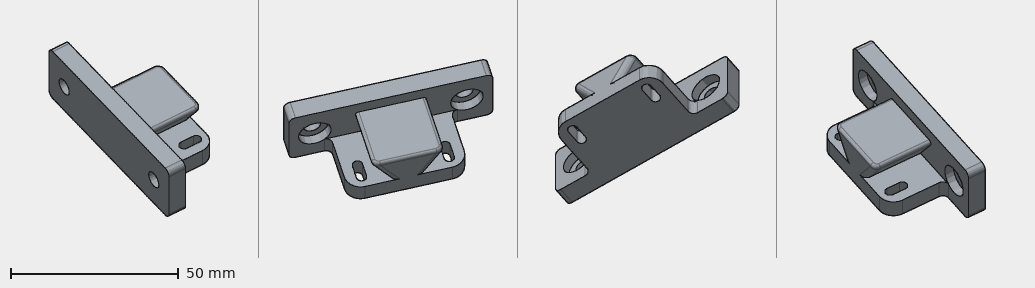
import cadquery as cq
import math

plate_length = 63.0
plate_height = 20.0
plate_thickness = 6.0
plate_corner_radius = 2.0
plate_hole_diameter = 5.3
plate_hole_spacing = 47.0
counterbore_diameter = 10.0
counterbore_depth = 3.0

total_depth = 26.0
flange_width = 37.05
flange_thickness = 6.0
flange_corner_radius = 10.0 / 2
flange_foot_radius = 2.0

slot_width = 3.1
slot_length = 7.5
slot_spacing = 27.1
slot_to_flange_end = 6.0

dovetail_base_width = 10.5
dovetail_top_z = 15.9
dovetail_wall_angle = 33.5
dovetail_corner_radius = 2.0
dovetail_top_radius = 1.0


def make_plate():
    return (
        cq.Workplane("XY")
        .box(plate_length, plate_thickness, plate_height, centered=(True, False, False))
        .edges("|Y")
        .fillet(plate_corner_radius)
    )


def make_flange():
    flange_depth = total_depth - plate_thickness
    return (
        cq.Workplane("XY", origin=(0, plate_thickness, 0))
        .box(flange_width, flange_depth, flange_thickness, centered=(True, False, False))
        .edges("|Z and >Y")
        .fillet(flange_corner_radius)
    )


def make_foot_fillet(side):
    """Concave fillet between the plate and one side of the flange (side is -1 or 1)."""
    side_x = side * flange_width / 2
    outer_x = side_x + side * flange_foot_radius
    end_y = plate_thickness + flange_foot_radius
    arc_offset = flange_foot_radius * math.sqrt(0.5)
    return (
        cq.Workplane("XY")
        .moveTo(side_x, plate_thickness)
        .lineTo(outer_x, plate_thickness)
        .threePointArc((outer_x - side * arc_offset, end_y - arc_offset), (side_x, end_y))
        .close()
        .extrude(flange_thickness)
    )


def make_dovetail():
    height = dovetail_top_z - flange_thickness
    base_half = dovetail_base_width / 2
    top_half = base_half + height * math.tan(math.radians(dovetail_wall_angle))
    profile = [
        (-base_half, flange_thickness),
        (base_half, flange_thickness),
        (top_half, dovetail_top_z),
        (-top_half, dovetail_top_z),
    ]
    block = (
        cq.Workplane("XZ", origin=(0, total_depth, 0))
        .polyline(profile)
        .close()
        .extrude(total_depth - plate_thickness)
    )
    block = block.edges(">Y").edges("not #Z").fillet(dovetail_corner_radius)
    return block.faces(">Z").edges("not <Y").fillet(dovetail_top_radius)


def make_plate_holes():
    """Through holes, counterbored from the back of the plate."""
    centers = [(-plate_hole_spacing / 2, 0), (plate_hole_spacing / 2, 0)]
    bores = (
        cq.Workplane("XZ", origin=(0, 0, plate_height / 2))
        .pushPoints(centers)
        .circle(plate_hole_diameter / 2)
        .extrude(-plate_thickness)
    )
    counterbores = (
        cq.Workplane("XZ", origin=(0, plate_thickness, plate_height / 2))
        .pushPoints(centers)
        .circle(counterbore_diameter / 2)
        .extrude(counterbore_depth)
    )
    return bores.union(counterbores)


def make_slots():
    return (
        cq.Workplane("XY", origin=(0, total_depth - slot_to_flange_end, 0))
        .pushPoints([(-slot_spacing / 2, 0), (slot_spacing / 2, 0)])
        .slot2D(slot_length, slot_width, 90)
        .extrude(flange_thickness)
    )


body = make_plate().union(make_flange()).union(make_dovetail())
for side in (-1, 1):
    body = body.union(make_foot_fillet(side))

result = body.cut(make_plate_holes()).cut(make_slots())